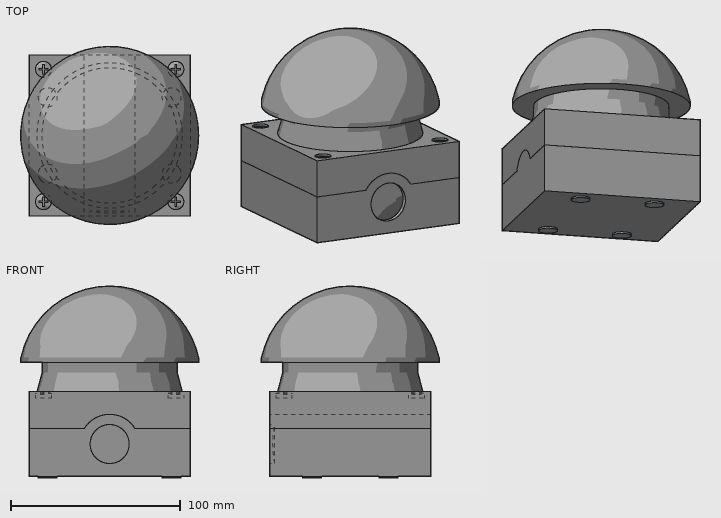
import cadquery as cq
import math

box_side = 95.0
base_height = 28.0
box_height = 50.0
foot_height = 1.0
box_bottom = foot_height
seam_z = box_bottom + base_height
box_top = box_bottom + box_height

foot_diameter = 11.2
foot_spacing_x = 73.0
foot_spacing_y = 45.0

entry_diameter = 23.0
entry_height = 19.0
entry_z = box_bottom + entry_height
entry_depth = 3.0
closure_bulge = 1.2
arch_radius = 17.5

neck_diameter = 79.8
cone_height = 10.9
cone_taper = 15.0
cone_bottom_radius = neck_diameter / 2 + cone_height * math.tan(math.radians(cone_taper))
rim_radius = 52.5
neck_height = 6.2
rim_thickness = 2.6
neck_z = box_top + cone_height
rim_bottom_z = neck_z + neck_height
rim_top_z = rim_bottom_z + rim_thickness
total_height = 113.11

screw_spacing = 78.0
screw_diameter = 9.4
screw_recess_depth = 4.0
screw_edge_drop = 1.2
screw_crown = 0.8
slot_length = 5.5
slot_width = 1.0
slot_depth = 1.5


def dome_segment(radius, height):
    """Spherical cap standing on Z = 0 with the given edge radius and height."""
    sphere_radius = (radius**2 + height**2) / (2 * height)
    centre_z = height - sphere_radius
    half_angle = math.asin(radius / sphere_radius) / 2
    arc_middle = (sphere_radius * math.sin(half_angle), centre_z + sphere_radius * math.cos(half_angle))
    return (
        cq.Workplane("XZ")
        .lineTo(radius, 0)
        .threePointArc(arc_middle, (0, height))
        .close()
        .revolve(360, (0, 0, 0), (0, 1, 0))
    )


def square_block(bottom_z, top_z):
    return cq.Workplane("XY").workplane(offset=bottom_z).rect(box_side, box_side).extrude(top_z - bottom_z)


def seam_arch():
    """Part of a round bar along Y, concentric with the cable entry, that rises above the flat seam."""
    bar = cq.Workplane("XZ").center(0, entry_z).circle(arch_radius).extrude(box_side / 2, both=True)
    return bar.intersect(square_block(seam_z, box_top))


def make_base():
    base = square_block(box_bottom, seam_z).union(seam_arch())

    feet = (
        cq.Workplane("XY")
        .rect(foot_spacing_x, foot_spacing_y, forConstruction=True)
        .vertices()
        .circle(foot_diameter / 2)
        .extrude(foot_height)
    )
    base = base.union(feet)

    front_y = -box_side / 2
    entry = (
        cq.Workplane("XZ", origin=(0, front_y, entry_z))
        .circle(entry_diameter / 2)
        .extrude(-entry_depth)
    )
    closure = (
        dome_segment(entry_diameter / 2, closure_bulge)
        .rotate((0, 0, 0), (1, 0, 0), 90)
        .translate((0, front_y + entry_depth, entry_z))
    )
    return base.cut(entry).union(closure)


def make_cover():
    cover = square_block(seam_z, box_top).cut(seam_arch())
    neck_and_rim = (
        cq.Workplane("XZ")
        .moveTo(0, box_top)
        .lineTo(cone_bottom_radius, box_top)
        .lineTo(neck_diameter / 2, neck_z)
        .lineTo(neck_diameter / 2, rim_bottom_z)
        .lineTo(rim_radius, rim_bottom_z)
        .lineTo(rim_radius, rim_top_z)
        .lineTo(0, rim_top_z)
        .close()
        .revolve(360, (0, 0, 0), (0, 1, 0))
    )
    dome = dome_segment(rim_radius, total_height - rim_top_z).translate((0, 0, rim_top_z))
    screw_recesses = (
        cq.Workplane("XY")
        .workplane(offset=box_top)
        .rect(screw_spacing, screw_spacing, forConstruction=True)
        .vertices()
        .circle(screw_diameter / 2)
        .extrude(-screw_recess_depth)
    )
    return cover.union(neck_and_rim).union(dome).cut(screw_recesses)


def make_screw(x, y):
    """Screw head that fills the bottom of its recess and ends in a low crown with a cross slot."""
    edge_height = screw_recess_depth - screw_edge_drop
    head = cq.Workplane("XY").circle(screw_diameter / 2).extrude(edge_height)
    crown = dome_segment(screw_diameter / 2, screw_crown).translate((0, 0, edge_height))
    head = head.union(crown)
    head_top = edge_height + screw_crown
    for length_x, length_y in ((slot_length, slot_width), (slot_width, slot_length)):
        slot = cq.Workplane("XY").workplane(offset=head_top).rect(length_x, length_y).extrude(-slot_depth)
        head = head.cut(slot)
    return head.translate((x, y, box_top - screw_recess_depth))


base = make_base()
cover = make_cover()
screw_offset = screw_spacing / 2
screws = [
    make_screw(side_x * screw_offset, side_y * screw_offset)
    for side_x in (-1, 1)
    for side_y in (-1, 1)
]

result = cq.Compound.makeCompound([base.val(), cover.val(), *[screw.val() for screw in screws]])